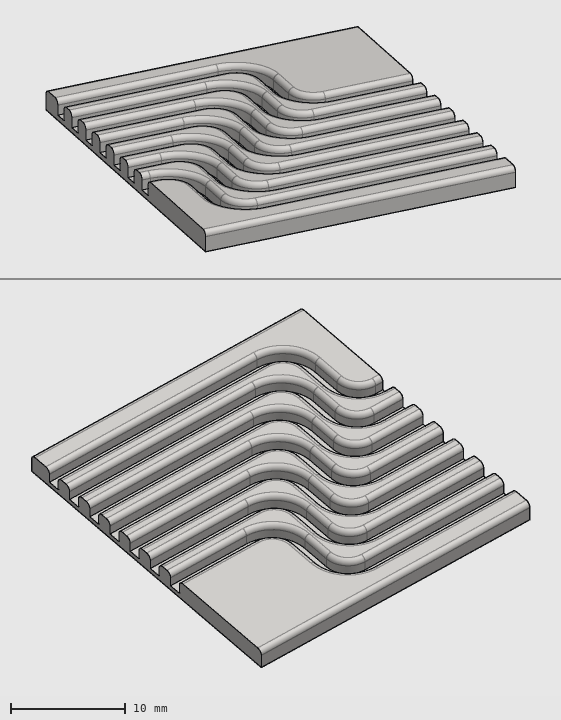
import cadquery as cq
import math

plate_x = 32.0
plate_y = 30.0
plate_z = 2.0
edge_radius = 0.5

channel_count = 7
channel_width = 1.2
floor_thickness = 0.5
bend_radius = 3.0
jog = 3 * bend_radius

first_leg_x = -plate_x / 2 + bend_radius
first_crossing_y = -plate_y / 2 + 18.53
total_shift_x = 16.85
total_shift_y = -14.72

tolerance = 0.003


def channel(leg_x, crossing_y):
    """Solid of one channel: a leg from the -Y end, a crossing along X and a leg to the +Y end."""
    half_width = channel_width / 2
    inner = bend_radius - half_width
    outer = bend_radius + half_width
    front_y = -plate_y / 2
    back_y = plate_y / 2
    far_leg_x = leg_x + jog
    front_bend = (leg_x + bend_radius, crossing_y - bend_radius)
    back_bend = (far_leg_x - bend_radius, crossing_y + bend_radius)
    diagonal = math.sqrt(0.5)

    def on_front_bend(radius):
        return (front_bend[0] - radius * diagonal, front_bend[1] + radius * diagonal)

    def on_back_bend(radius):
        return (back_bend[0] + radius * diagonal, back_bend[1] - radius * diagonal)

    return (
        cq.Workplane("XY", origin=(0, 0, floor_thickness))
        .moveTo(leg_x - half_width, front_y)
        .lineTo(leg_x - half_width, front_bend[1])
        .threePointArc(on_front_bend(outer), (front_bend[0], crossing_y + half_width))
        .lineTo(back_bend[0], crossing_y + half_width)
        .threePointArc(on_back_bend(inner), (far_leg_x - half_width, back_bend[1]))
        .lineTo(far_leg_x - half_width, back_y)
        .lineTo(far_leg_x + half_width, back_y)
        .lineTo(far_leg_x + half_width, back_bend[1])
        .threePointArc(on_back_bend(outer), (back_bend[0], crossing_y - half_width))
        .lineTo(front_bend[0], crossing_y - half_width)
        .threePointArc(on_front_bend(inner), (leg_x + half_width, front_bend[1]))
        .lineTo(leg_x + half_width, front_y)
        .close()
        .extrude(plate_z - floor_thickness)
    )


def is_on_end_face(edge):
    """True for edges lying in the front or back face of the plate."""
    box = edge.BoundingBox()
    lies_across = box.ymax - box.ymin < tolerance
    return lies_across and plate_y / 2 - abs(edge.Center().y) < tolerance


plate = cq.Workplane("XY").box(plate_x, plate_y, plate_z, centered=(True, True, False))

for index in range(channel_count):
    step = index / (channel_count - 1)
    leg_x = first_leg_x + step * total_shift_x
    crossing_y = first_crossing_y + step * total_shift_y
    plate = plate.cut(channel(leg_x, crossing_y))

rim_edges = [edge for edge in plate.faces(">Z").edges().vals() if not is_on_end_face(edge)]
result = plate.newObject(rim_edges).fillet(edge_radius)